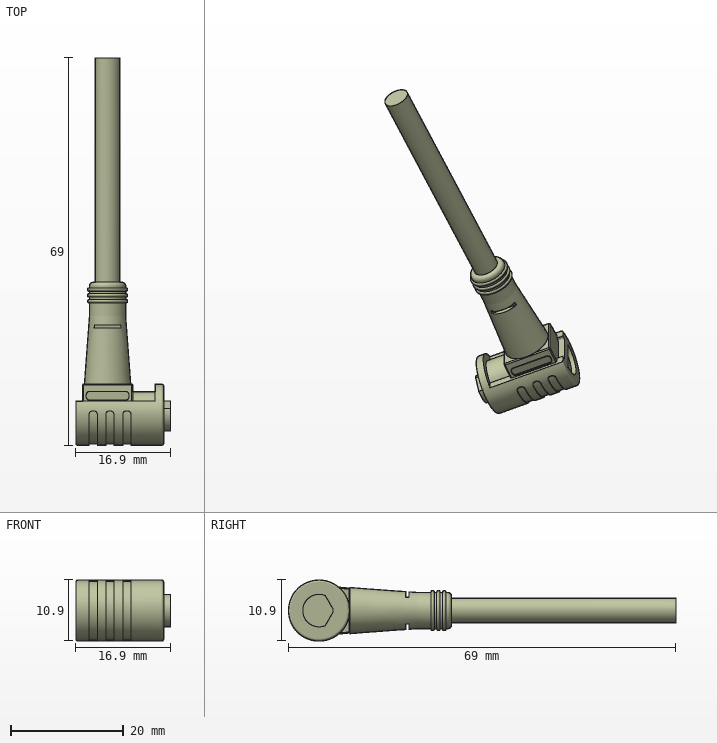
import cadquery as cq


head_radius = 5.45
head_left = -5.65
head_right = 10.0
head_rounding = 0.4
shelf_height = 2.4
collar_thickness = 1.5
neck_radius = 4.15

nose_length = 1.25
nose_radius = 2.9
nose_shoulder_height = 1.1
nose_tip_height = 2.5
nose_tip_half_width = 0.3

notch_top_depth = 0.75
notch_half_width = 3.2
notch_corner_radius = 0.35
thumb_recess_radius = 3.45
thumb_recess_depth = 0.8

grip_groove_centres = (-2.55, 0.4, 3.45)
grip_groove_width = 1.45
grip_groove_depth = 0.2
grip_groove_top = 0.7
grip_groove_rounding = 0.6

block_half_length = 4.5
block_top = 5.5
block_top_half_width = 4.0
block_shelf_half_width = 4.3
block_chamfer = 0.2
pad_length = 7.6
pad_bottom = 2.6
pad_top = 4.15
pad_floor_height = 3.9
pad_corner_radius = 0.55

boot_base_radius = 4.15
boot_neck_radius = 3.25
boot_taper_end = 17.5
boot_end = 23.6
boot_rounding = 0.7
ridge_centres = (22.3, 21.25, 20.2)
ridge_radius = 3.6
ridge_half_width = 0.31
boot_slot_start = 15.45
boot_slot_width = 0.55
boot_slot_floor_height = 2.4

cable_radius = 2.2
total_length = 68.95
cable_end = total_length - head_radius

joint_overlap = 0.7


def x_cylinder(radius, start, end):
    return cq.Workplane("YZ", origin=(start, 0, 0)).circle(radius).extrude(end - start)


def box_between(x_range, y_range, z_range):
    size = [high - low for low, high in (x_range, y_range, z_range)]
    corner = (x_range[0], y_range[0], z_range[0])
    return cq.Workplane("XY", origin=corner).box(*size, centered=False)


def make_head():
    barrel = x_cylinder(head_radius, head_left, head_right).edges().fillet(head_rounding)
    collar_left = head_right - collar_thickness
    above_shelf = box_between(
        (head_left, collar_left), (shelf_height, head_radius), (-head_radius, head_radius)
    )
    return barrel.cut(above_shelf).union(x_cylinder(neck_radius, 0, collar_left))


def make_nose():
    """Round plug whose +Y side narrows to a blunt tip between two flats."""
    side = (nose_radius**2 - nose_shoulder_height**2) ** 0.5
    return (
        cq.Workplane("YZ", origin=(head_right, 0, 0))
        .moveTo(nose_shoulder_height, side)
        .threePointArc((-nose_radius, 0), (nose_shoulder_height, -side))
        .lineTo(nose_tip_height, -nose_tip_half_width)
        .lineTo(nose_tip_height, nose_tip_half_width)
        .close()
        .extrude(nose_length)
    )


def make_back_notch():
    """Recess in the shelf edge that exposes the full face of the block."""
    bottom = shelf_height - notch_top_depth
    return box_between(
        (head_left, -block_half_length),
        (bottom, shelf_height),
        (-notch_half_width, notch_half_width),
    ).edges("|X and <Y").fillet(notch_corner_radius)


def make_thumb_recess():
    return (
        cq.Workplane("YZ", origin=(head_left, 0, 0))
        .moveTo(0, thumb_recess_radius)
        .threePointArc((-thumb_recess_radius, 0), (0, -thumb_recess_radius))
        .close()
        .extrude(thumb_recess_depth)
    )


def make_grip_groove(centre):
    """Shallow band around the -Y side of the head, with round ends near its top and bottom."""
    start = centre - grip_groove_width / 2
    end = centre + grip_groove_width / 2
    ring = x_cylinder(head_radius, start, end).cut(
        x_cylinder(head_radius - grip_groove_depth, start, end)
    )
    reach = box_between(
        (start, end), (-head_radius, grip_groove_top), (-head_radius, head_radius)
    )
    return ring.intersect(reach.edges("|Z and >Y").fillet(grip_groove_rounding))


def make_block():
    """Block on the shelf, tapering towards the boot, with a shallow recess in its top and bottom.

    Its foot is sunk into the head.
    """
    taper = (block_shelf_half_width - block_top_half_width) / (block_top - shelf_height)
    foot_half_width = block_shelf_half_width + taper * shelf_height
    block = (
        cq.Workplane("YZ", origin=(-block_half_length, 0, 0))
        .polyline([
            (0, -foot_half_width),
            (block_top, -block_top_half_width),
            (block_top, block_top_half_width),
            (0, foot_half_width),
        ])
        .close()
        .extrude(2 * block_half_length)
        .edges("not <Y")
        .chamfer(block_chamfer)
    )
    pad = box_between(
        (-pad_length / 2, pad_length / 2),
        (pad_bottom, pad_top),
        (pad_floor_height, foot_half_width),
    ).edges("|Z").fillet(pad_corner_radius)
    return block.cut(pad).cut(pad.mirror("XY"))


def make_boot():
    """Tapered sleeve with round ridges near its outer end and two flat-bottomed slots."""
    rounding_mid = boot_rounding * (1 - 0.5**0.5)
    profile = (
        cq.Workplane("XY")
        .moveTo(0, block_top - joint_overlap)
        .lineTo(0, boot_end)
        .lineTo(boot_neck_radius - boot_rounding, boot_end)
        .threePointArc(
            (boot_neck_radius - rounding_mid, boot_end - rounding_mid),
            (boot_neck_radius, boot_end - boot_rounding),
        )
    )
    for centre in ridge_centres:
        profile = profile.lineTo(boot_neck_radius, centre + ridge_half_width).threePointArc(
            (ridge_radius, centre), (boot_neck_radius, centre - ridge_half_width)
        )
    boot = (
        profile.lineTo(boot_neck_radius, boot_taper_end)
        .lineTo(boot_base_radius, block_top)
        .lineTo(boot_base_radius - joint_overlap, block_top - joint_overlap)
        .close()
        .revolve(360, (0, 0, 0), (0, 1, 0))
    )
    slot = box_between(
        (-boot_base_radius, boot_base_radius),
        (boot_slot_start, boot_slot_start + boot_slot_width),
        (boot_slot_floor_height, boot_base_radius),
    )
    return boot.cut(slot).cut(slot.mirror("XY"))


def make_cable():
    start = boot_end - joint_overlap
    section = cq.Workplane("XZ", origin=(0, start, 0)).circle(cable_radius)
    return section.extrude(start - cable_end)


head = make_head().cut(make_back_notch()).cut(make_thumb_recess())
for groove_centre in grip_groove_centres:
    head = head.cut(make_grip_groove(groove_centre))

result = head.union(make_nose()).union(make_block()).union(make_boot()).union(make_cable())